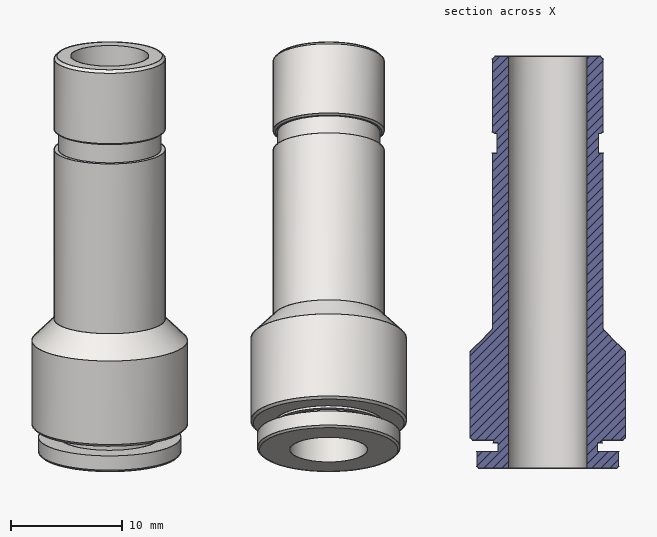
import cadquery as cq

total_height = 37.0
bore_diameter = 7.0
stem_diameter = 10.0
body_diameter = 14.0

collar_diameter = 12.8
collar_top = 1.5
collar_chamfer = 0.2
neck_diameter = 9.0

lip_diameter = 9.8
lip_bottom = 2.3

body_bottom = 2.5
body_chamfer = 0.22
shoulder_bottom = 10.5
shoulder_top = shoulder_bottom + (body_diameter - stem_diameter) / 2

groove_diameter = 9.2
groove_bottom = 28.3
groove_top = 30.05
groove_chamfer_width = 0.22
groove_chamfer_height = 0.15
stem_chamfer = 0.25


def cylinder(diameter, bottom, top):
    """Cylinder about the Z axis between two heights."""
    return cq.Workplane("XY").workplane(offset=bottom).circle(diameter / 2).extrude(top - bottom)


def make_collar():
    """Collar, neck and lip below the body."""
    collar = cylinder(collar_diameter, 0, collar_top).faces("<Z").chamfer(collar_chamfer)
    neck = cylinder(neck_diameter, collar_top, lip_bottom)
    lip = cylinder(lip_diameter, lip_bottom, body_bottom)
    return collar.union(neck).union(lip)


def make_body():
    """Wide body closed by the conical shoulder."""
    barrel = cylinder(body_diameter, body_bottom, shoulder_bottom).faces("<Z").chamfer(body_chamfer)
    shoulder = (
        cq.Workplane("XY")
        .workplane(offset=shoulder_bottom)
        .circle(body_diameter / 2)
        .workplane(offset=shoulder_top - shoulder_bottom)
        .circle(stem_diameter / 2)
        .loft(ruled=True)
    )
    return barrel.union(shoulder)


def make_stem():
    """Stem with its groove and chamfered head."""
    shaft = cylinder(stem_diameter, shoulder_top, groove_bottom)
    groove_core = cylinder(groove_diameter, groove_bottom, groove_top)
    head = (
        cylinder(stem_diameter, groove_top, total_height)
        .faces(">Z")
        .chamfer(stem_chamfer)
        .faces("<Z")
        .chamfer(groove_chamfer_height, groove_chamfer_width)
    )
    return shaft.union(groove_core).union(head)


outside = make_collar().union(make_body()).union(make_stem())
result = outside.cut(cylinder(bore_diameter, 0, total_height))